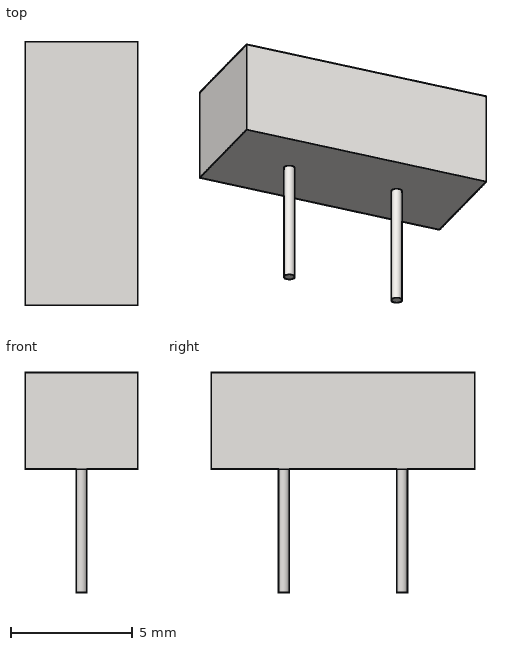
import cadquery as cq

housing_width = 4.65
housing_length = 10.9
housing_height = 4.0

overall_height = 9.1
lead_diameter = 0.45
lead_length = overall_height - housing_height
lead_pitch = 4.88


def make_housing():
    """Plain block standing on the XY plane."""
    return cq.Workplane("XY").box(
        housing_width, housing_length, housing_height, centered=(True, True, False)
    )


def make_lead(y):
    """Straight round lead whose top end meets the housing's underside."""
    return cq.Workplane("XY").center(0, y).circle(lead_diameter / 2).extrude(-lead_length)


housing = make_housing()
leads = [make_lead(side * lead_pitch / 2) for side in (-1, 1)]

result = cq.Compound.makeCompound([housing.val(), *[lead.val() for lead in leads]])